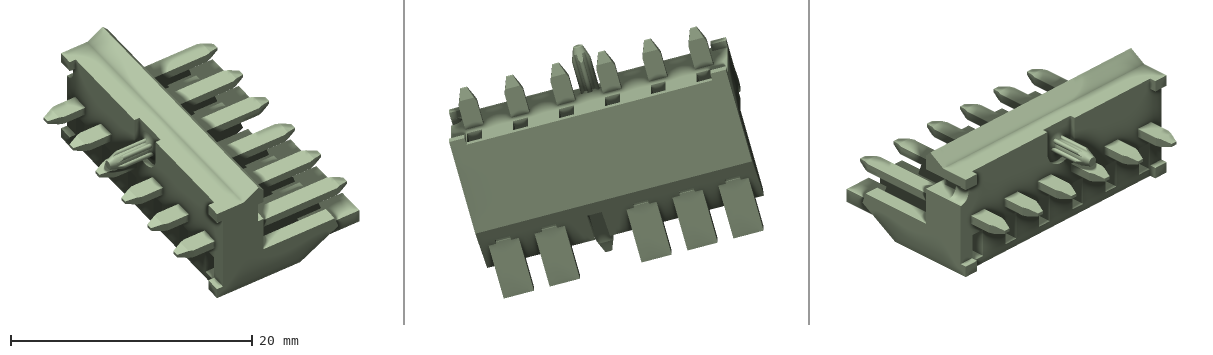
import cadquery as cq
import math


length = 23.77
wall_back = 4.02
ceiling_z = 9.37
shelf_z = 3.2
shelf_back = 11.03
shelf_nose = (11.39, 2.19)
underside_back = 7.63

bar_bottom = 8.46
bar_back_z = 9.77
crest = (3.52, 10.3)
bar_slope_front = 2.0

groove_bottom = 6.58
groove_depth = 0.57
notch_radius = (bar_bottom - groove_bottom) / 2
notch_length = 1.47
pocket_width = 1.6

foot_width = 1.33
foot_height = 1.0
foot_depth = 0.6

contact_count = 6
pitch = 3.95
pin_z = 4.75
pin_width = 1.57
pin_height = 0.75
pin_front = -3.42
pin_back = 13.35
tip_width = 0.57
tip_height = 0.29
side_taper = 1.33
top_taper = 0.93

slot_width = 1.28
slot_floor = 0.67
tab_width = 2.6
tab_bottom = 0.9
tab_top = 2.15
tab_start = 9.03
tab_back = 13.93
missing_tab = 2

peg_z = 7.35
recess_radius = 1.62
recess_depth = 0.5
peg_end = -3.65
core_radius = 0.6
rib_count = 5
rib_circle = 0.62
rib_radius = 0.21
peg_tip_radius = 0.4
peg_taper_length = 1.21
root_foot_radius = 1.33

contact_xs = [(i - (contact_count - 1) / 2) * pitch for i in range(contact_count)]


def block(x0, x1, y0, y1, z0, z1):
    """Box given by its limits along X, Y and Z."""
    return cq.Workplane("XY").box(x1 - x0, y1 - y0, z1 - z0, centered=False).translate((x0, y0, z0))


def cylinder(x, z, radius, y0, y1):
    """Round bar along Y."""
    return cq.Workplane("XZ", origin=(x, y0, 0)).center(0, z).circle(radius).extrude(y0 - y1)


def make_housing():
    """Upright wall, shelf and latch bar as one profile along X."""
    profile = [
        (0, 0),
        (underside_back, 0),
        shelf_nose,
        (shelf_back, shelf_z),
        (wall_back, shelf_z),
        (wall_back, groove_bottom),
        (wall_back - groove_depth, groove_bottom),
        (wall_back - groove_depth, bar_bottom),
        (wall_back, bar_bottom),
        (wall_back, bar_back_z),
        crest,
        (bar_slope_front, ceiling_z),
        (0, ceiling_z),
    ]
    return cq.Workplane("YZ", origin=(-length / 2, 0, 0)).polyline(profile).close().extrude(length)


def make_feet():
    """Four small pads at the corners of the front face."""
    feet = cq.Workplane("XY")
    for x in (-length / 2, length / 2 - foot_width):
        for z in (0, ceiling_z - foot_height):
            feet = feet.add(block(x, x + foot_width, -foot_depth, 0, z, z + foot_height))
    return feet.combine()


def make_notch():
    """Half-round notch in the left end, opening into a rectangular pocket behind it."""
    left = -length / 2
    round_part = cylinder(left, (bar_bottom + groove_bottom) / 2, notch_radius, 0, notch_length)
    pocket = block(left, left + pocket_width, notch_length, wall_back, groove_bottom, bar_bottom)
    return round_part.union(pocket)


def make_slot(x):
    return block(x - slot_width / 2, x + slot_width / 2, 0, tab_back, slot_floor, shelf_z)


def make_tab(x):
    return block(x - tab_width / 2, x + tab_width / 2, tab_start, tab_back, tab_bottom, tab_top)


def make_pin(x):
    """Rectangular contact with both ends tapered, as a plan outline trimmed by a side outline."""
    half_width, half_tip_width = pin_width / 2, tip_width / 2
    half_height, half_tip_height = pin_height / 2, tip_height / 2

    def tapered_bar(plane, half_body, half_tip, taper, half_thickness):
        outline = [
            (half_tip, pin_front),
            (half_body, pin_front + taper),
            (half_body, pin_back - taper),
            (half_tip, pin_back),
            (-half_tip, pin_back),
            (-half_body, pin_back - taper),
            (-half_body, pin_front + taper),
            (-half_tip, pin_front),
        ]
        return cq.Workplane(plane).polyline(outline).close().extrude(half_thickness, both=True)

    plan = tapered_bar("XY", half_width, half_tip_width, side_taper, half_height)
    side = tapered_bar("ZY", half_height, half_tip_height, top_taper, half_width)
    return plan.intersect(side).translate((x, 0, pin_z))


def make_recess():
    """U-shaped recess, open at the top of the wall."""
    round_end = cylinder(0, peg_z, recess_radius, 0, recess_depth)
    return round_end.union(block(-recess_radius, recess_radius, 0, recess_depth, peg_z, ceiling_z))


def spin(half_outline):
    """Revolve a half outline about the peg axis."""
    return half_outline.close().revolve(360, (0, 0), (0, 1)).translate((0, 0, peg_z))


def make_peg():
    """Ribbed peg with a tapered end and a flared root."""
    ribbed = cylinder(0, peg_z, core_radius, peg_end, recess_depth)
    for i in range(rib_count):
        angle = math.radians(-90 + i * 360 / rib_count)
        rib_x = rib_circle * math.cos(angle)
        rib_z = peg_z + rib_circle * math.sin(angle)
        ribbed = ribbed.union(cylinder(rib_x, rib_z, rib_radius, peg_end, recess_depth))

    outer_radius = rib_circle + rib_radius
    envelope = (
        cq.Workplane("XY")
        .moveTo(0, recess_depth)
        .lineTo(outer_radius, recess_depth)
        .lineTo(outer_radius, peg_end + peg_taper_length)
        .lineTo(peg_tip_radius, peg_end)
        .lineTo(0, peg_end)
    )

    flare_radius = root_foot_radius - peg_tip_radius
    flare_front = recess_depth - flare_radius
    arc_shift = flare_radius * math.sqrt(0.5)
    flare = (
        cq.Workplane("XY")
        .moveTo(0, recess_depth)
        .lineTo(root_foot_radius, recess_depth)
        .threePointArc(
            (root_foot_radius - arc_shift, flare_front + arc_shift),
            (peg_tip_radius, flare_front),
        )
        .lineTo(0, flare_front)
    )
    return ribbed.intersect(spin(envelope)).union(spin(flare))


result = make_housing().union(make_feet()).cut(make_notch()).cut(make_recess())
for contact_x in contact_xs:
    result = result.cut(make_slot(contact_x))
for index, contact_x in enumerate(contact_xs):
    if index != missing_tab:
        result = result.union(make_tab(contact_x))
    result = result.union(make_pin(contact_x))
result = result.union(make_peg())